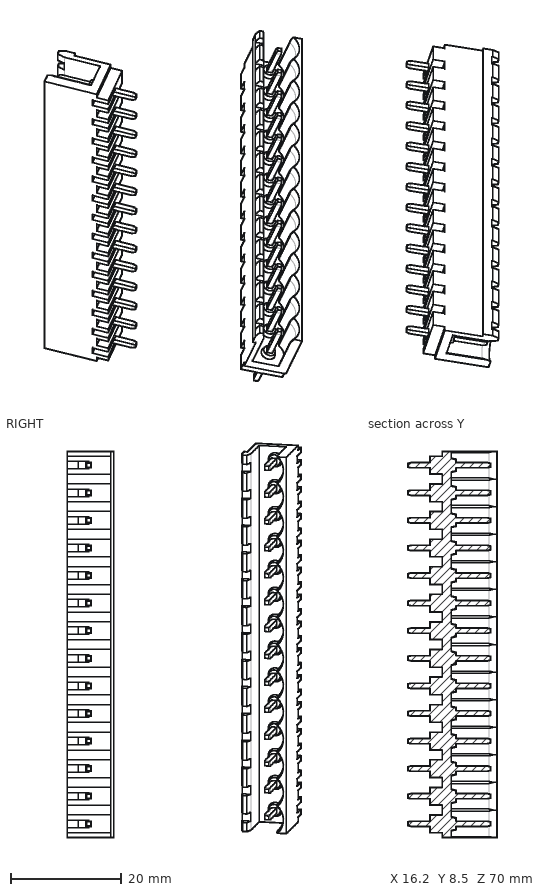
import cadquery as cq

pin_count = 14
pitch = 5.0
length = pin_count * pitch

body_depth = 10.0
tooth_depth = 2.2
back_x = body_depth + tooth_depth
body_width = 7.9
floor_x = 8.3
lower_wall = 1.9
upper_wall_inner_y = 6.9

scallop_lead_in = 1.5
upper_lead_in = 1.4
upper_chamfer = 0.45

latch_height = 0.6
latch_end_x = 3.0
latch_tip_drop = 0.4
latch_ramp_length = 1.2
notch_width = 1.6
notch_depth = upper_lead_in

scallop_radius = 3.05
scallop_mouth_radius = 3.35

tooth_width = 3.25
slot_width = 1.35
slot_start_x = 9.2
deep_slot_start_x = 9.85
shallow_slot_depth = 2.0

pin_y = 3.9
pin_size = 1.0
pin_start_x = 1.2
pin_end_x = 16.2
tip_length = 0.6
tip_size = 0.7

collar_height = 0.85
collar_base_radius = 1.3
collar_top_radius = 1.1

pin_heights = [(index + 0.5) * pitch for index in range(pin_count)]


def block(x_range, y_range, z_range):
    """Box between the given limits along each axis."""
    (x0, x1), (y0, y1), (z0, z1) = x_range, y_range, z_range
    return cq.Workplane("XY").box(x1 - x0, y1 - y0, z1 - z0, centered=False).translate((x0, y0, z0))


def cone(x0, radius0, x1, radius1, z):
    """Cone or cylinder along X on the axis of the pin at height z."""
    return (
        cq.Workplane("XY")
        .polyline([(x0, 0), (x0, radius0), (x1, radius1), (x1, 0)])
        .close()
        .revolve(360, (0, 0, 0), (1, 0, 0))
        .translate((0, pin_y, z))
    )


def make_housing():
    """Trough section with the latch ridge, before the repeated cuts."""
    latch_y = body_width + latch_height
    outline = [
        (0, 0),
        (back_x, 0),
        (back_x, body_width),
        (latch_end_x, body_width),
        (latch_end_x, latch_y),
        (latch_ramp_length, latch_y),
        (0, latch_y - latch_tip_drop),
        (0, upper_wall_inner_y + upper_chamfer),
        (upper_lead_in, upper_wall_inner_y),
        (floor_x, upper_wall_inner_y),
        (floor_x, lower_wall),
        (0, lower_wall),
    ]
    return cq.Workplane("XY").polyline(outline).close().extrude(length)


def cut_tooth_gaps(housing):
    """Leave one standoff tooth behind each pin."""
    gap = pitch - tooth_width
    for index in range(pin_count + 1):
        z = index * pitch
        housing = housing.cut(
            block((body_depth, back_x), (0, body_width), (z - gap / 2, z + gap / 2))
        )
    return housing


def cut_pin_features(housing, z):
    """Latch notch, scallop and tooth slot belonging to the pin at height z."""
    notch_z = (z - notch_width / 2, z + notch_width / 2)
    notch = block((0, notch_depth), (upper_wall_inner_y, body_width + latch_height), notch_z)
    slot_z = (z - slot_width / 2, z + slot_width / 2)
    shallow_slot = block((slot_start_x, back_x), (0, shallow_slot_depth), slot_z)
    deep_slot = block((deep_slot_start_x, back_x), (0, pin_y), slot_z)
    slot = shallow_slot.union(deep_slot)
    cell = block((0, floor_x), (0, pin_y), (z - pitch / 2, z + pitch / 2))
    bore = cone(0, scallop_radius, floor_x, scallop_radius, z)
    mouth = cone(0, scallop_mouth_radius, scallop_lead_in, scallop_radius, z)
    scallop = bore.union(mouth).intersect(cell)
    return housing.cut(notch).cut(slot).cut(scallop)


def make_tip(base_x, end_x, z):
    """Four-sided taper from the full pin section at base_x to the tip at end_x."""
    return (
        cq.Workplane("YZ", origin=(base_x, pin_y, z))
        .rect(pin_size, pin_size)
        .workplane(offset=end_x - base_x)
        .rect(tip_size, tip_size)
        .loft()
    )


def make_pin(z):
    """Contact pin with both tips and its collar."""
    front_x = pin_start_x + tip_length
    rear_x = pin_end_x - tip_length
    half = pin_size / 2
    shank = block((front_x, rear_x), (pin_y - half, pin_y + half), (z - half, z + half))
    collar = cone(floor_x - collar_height, collar_top_radius, floor_x, collar_base_radius, z)
    tips = make_tip(front_x, pin_start_x, z).union(make_tip(rear_x, pin_end_x, z))
    return shank.union(tips).union(collar)


result = cut_tooth_gaps(make_housing())
for height in pin_heights:
    result = cut_pin_features(result, height)
for height in pin_heights:
    result = result.union(make_pin(height))